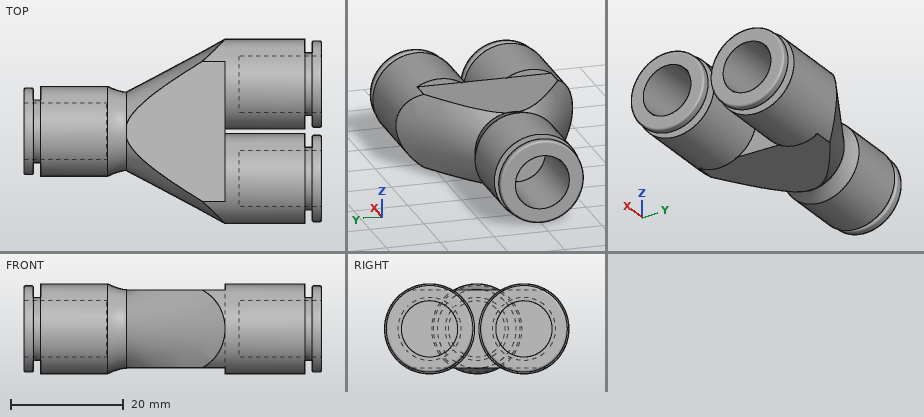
import cadquery as cq

overall_length = 52.83
overall_width = 32.75

body_radius = 8.0
branch_offset = overall_width / 2 - body_radius

collar_radius = 7.7
collar_thickness = 1.7
collar_fillet = 0.4
neck_radius = 5.6
port_length = 2.95
bore_radius = 5.0
bore_depth = 14.7

taper_start = 14.85
taper_end = 17.75
taper_sag = 0.12
waist_radius = 7.0

hub_start = 18.2
hub_end = 35.7
hub_height = 13.8
hub_end_radius = overall_width / 2


def port(outward_x):
    """Collar and neck with the open face at the origin, pointing along +X or -X."""
    outward = cq.Vector(outward_x, 0, 0)
    open_face = cq.Plane(origin=(0, 0, 0), xDir=(0, 1, 0), normal=outward)
    collar = cq.Workplane(open_face).circle(collar_radius).extrude(-collar_thickness)
    collar = collar.edges().fillet(collar_fillet)
    neck = cq.Workplane(open_face).circle(neck_radius).extrude(-port_length)
    return collar.union(neck)


def x_cylinder(radius, start, end, y=0):
    """Solid cylinder along X, from start to end, at the given Y."""
    return cq.Workplane("YZ", origin=(start, y, 0)).circle(radius).extrude(end - start)


def inlet_body():
    """Inlet cylinder with its concave taper down to the waist."""
    taper_middle = (
        (taper_start + taper_end) / 2,
        (body_radius + waist_radius) / 2 - taper_sag,
    )
    return (
        cq.Workplane("XY")
        .moveTo(port_length, 0)
        .lineTo(port_length, body_radius)
        .lineTo(taper_start, body_radius)
        .threePointArc(taper_middle, (taper_end, waist_radius))
        .lineTo(hub_start, waist_radius)
        .lineTo(hub_start, 0)
        .close()
        .revolve(360, (0, 0, 0), (1, 0, 0))
    )


def hub():
    """Cone trimmed to the rounded envelope of both outlets and to the flat faces."""
    hub_length = hub_end - hub_start
    cone = (
        cq.Workplane("XY")
        .moveTo(hub_start, 0)
        .lineTo(hub_start, waist_radius)
        .lineTo(hub_end, hub_end_radius)
        .lineTo(hub_end, 0)
        .close()
        .revolve(360, (0, 0, 0), (1, 0, 0))
    )
    envelope = (
        cq.Workplane("YZ", origin=(hub_start, 0, 0))
        .slot2D(overall_width, 2 * body_radius)
        .extrude(hub_length)
    )
    flats = (
        cq.Workplane("YZ", origin=(hub_start, 0, 0))
        .rect(overall_width, hub_height)
        .extrude(hub_length)
    )
    return cone.intersect(envelope).intersect(flats)


outlet_body_end = overall_length - port_length

result = inlet_body().union(hub()).union(port(-1))
for side in (-1, 1):
    y = side * branch_offset
    result = result.union(x_cylinder(body_radius, hub_end, outlet_body_end, y))
    result = result.union(port(1).translate((overall_length, y, 0)))

outlet_bore_end = overall_length - bore_depth
result = result.cut(x_cylinder(bore_radius, 0, bore_depth))
for side in (-1, 1):
    y = side * branch_offset
    result = result.cut(x_cylinder(bore_radius, outlet_bore_end, overall_length, y))